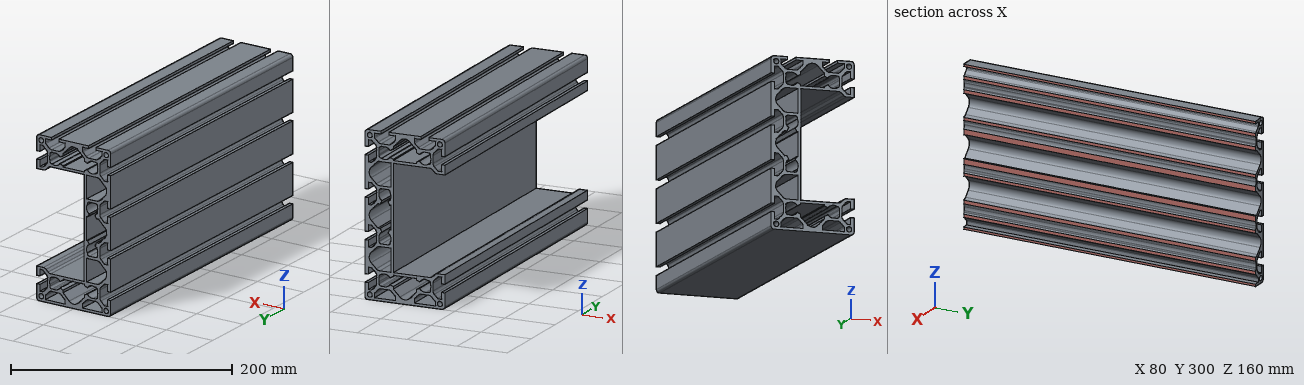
import cadquery as cq
import math

LENGTH = 300.0
PITCH = 40.0
SLOT_AXIS = PITCH / 2
WIDTH = 2 * PITCH
HEIGHT = 4 * PITCH
CORNER_RADIUS = 3.0

SLOT_OPENING = 8.0
SLOT_HALF_WIDTH = 10.5
SLOT_HALF_FLOOR = 5.4
SLOT_DEPTH = 11.8
SLOT_SIDE_DEPTH = SLOT_DEPTH - (SLOT_HALF_WIDTH - SLOT_HALF_FLOOR)
SLOT_SIDE_RADIUS = 1.5
SLOT_FLOOR_RADIUS = 4.0
END_LIP = 2.6
SIDE_LIP = 3.5

WALL = 2.6
CHAMBER_FLOOR = 26.0
INNER_FACE = CHAMBER_FLOOR + WALL

FRONT_LIP_END = SLOT_AXIS + SLOT_HALF_WIDTH + WALL
FRONT_LIP_LENGTH = 9.1
FRONT_LIP_RADIUS = 4.0

CROWN_DEPTH = 4.4
CROWN_RADIUS = 6.8
CROWN_APEX = CROWN_DEPTH - CROWN_RADIUS * (math.sqrt(2) - 1)

CELL_HALF = PITCH - INNER_FACE
CELL_BEND_RADIUS = 5.0

CORE_RADIUS = 6.0
CORE_DEPTH = 20.15
RIDGE_HALF_GAP = 3.0
RIDGE_TIP = math.sqrt(CORE_RADIUS**2 - RIDGE_HALF_GAP**2)
RIDGE_BACK = 8.5
RIDGE_BACK_HALF_GAP = 4.7

POCKET_TOP = SLOT_DEPTH + 2.5
POCKET_FLOOR = 25.3
POCKET_RADIUS = 2.2
FLANGE_CHAMBER_HALF = PITCH - POCKET_TOP
WEB_CHAMBER_HALF = PITCH - CELL_HALF - WALL

HOLE_INSET = 5.0
HOLE_DIAMETER = 4.9

TOP = (0, 1)
BOTTOM = (0, -1)
BACK = (-1, 0)
FRONT = (1, 0)


def section_plane(x, z, outward):
    """Section plane at a point of a face; local x runs along the face, local y is depth."""
    inward_x, inward_z = -outward[0], -outward[1]
    return cq.Workplane(cq.Plane(origin=(x, 0, z), xDir=(-inward_z, 0, inward_x), normal=(0, 1, 0)))


def extrude_full(profile):
    return profile.extrude(LENGTH / 2, both=True)


def rounded_loop(plane, corners):
    """Closed outline through (x, y, radius) corners; radius 0 leaves the corner sharp."""
    path = None
    for index, (x, y, radius) in enumerate(corners):
        corner = cq.Vector(x, y)
        before = cq.Vector(*corners[index - 1][:2])
        after = cq.Vector(*corners[(index + 1) % len(corners)][:2])
        to_before = (before - corner).normalized()
        to_after = (after - corner).normalized()
        half_angle = to_before.getAngle(to_after) / 2
        tangent_length = radius / math.tan(half_angle)
        start = corner + to_before * tangent_length
        path = path.lineTo(start.x, start.y) if path else plane.moveTo(start.x, start.y)
        if radius:
            middle = corner + (to_before + to_after).normalized() * (radius / math.sin(half_angle) - radius)
            end = corner + to_after * tangent_length
            path = path.threePointArc((middle.x, middle.y), (end.x, end.y))
    return path.close()


def mirrored(right_half):
    """Right half of a loop's corners followed by its mirror image about local x = 0."""
    return right_half + [(-x, y, radius) for x, y, radius in reversed(right_half)]


def channel_body():
    half_height = HEIGHT / 2
    inner_z = half_height - INNER_FACE
    lip_z = half_height - FRONT_LIP_END
    lip_x = WIDTH - FRONT_LIP_LENGTH
    slope_x = lip_x - (FRONT_LIP_END - INNER_FACE)
    upper_half = [
        (INNER_FACE, inner_z, 0),
        (slope_x, inner_z, FRONT_LIP_RADIUS),
        (lip_x, lip_z, FRONT_LIP_RADIUS),
        (WIDTH, lip_z, 0),
        (WIDTH, half_height, CORNER_RADIUS),
        (0, half_height, CORNER_RADIUS),
    ]
    lower_half = [(x, -z, radius) for x, z, radius in reversed(upper_half)]
    return extrude_full(rounded_loop(cq.Workplane("XZ"), upper_half + lower_half))


def slot_void(x, z, outward, lip, is_open=True):
    """T-slot with 45 degree shoulders; a closed slot keeps its outer wall whole."""
    half = [
        (SLOT_HALF_WIDTH, lip, 0),
        (SLOT_HALF_WIDTH, SLOT_SIDE_DEPTH, SLOT_SIDE_RADIUS),
        (SLOT_HALF_FLOOR, SLOT_DEPTH, SLOT_FLOOR_RADIUS),
    ]
    plane = section_plane(x, z, outward)
    void = extrude_full(rounded_loop(plane, mirrored(half)))
    if is_open:
        mouth = section_plane(x, z, outward).center(0, lip / 2).rect(SLOT_OPENING, lip)
        void = void.union(extrude_full(mouth))
    return void


def arm_depth(offset):
    """Depth of the 45 degree arm at an offset from the chamber axis."""
    return CROWN_APEX + offset


def crowned_void(x, z, outward, half_wall):
    """Void below a rounded crown; half_wall lists the corners from the right arm to the floor."""
    corners = [(0, CROWN_APEX, CROWN_RADIUS)] + mirrored(half_wall)
    return extrude_full(rounded_loop(section_plane(x, z, outward), corners))


def plain_cell(z):
    """Closed cell in the web, between two back slots."""
    half_wall = [
        (CELL_HALF, arm_depth(CELL_HALF), CELL_BEND_RADIUS),
        (CELL_HALF, CHAMBER_FLOOR, 0),
    ]
    return crowned_void(0, z, BACK, half_wall)


def ridged_chamber(x, z, outward, half_length):
    """Chamber spanning two slots: a crowned middle, two round cores and two end pockets."""
    back = SLOT_AXIS - RIDGE_BACK
    tip = SLOT_AXIS - RIDGE_TIP
    half_wall = [
        (back, arm_depth(back), 0),
        (back, CORE_DEPTH - RIDGE_BACK_HALF_GAP, 0),
        (tip, CORE_DEPTH - RIDGE_HALF_GAP, 0),
        (tip, CORE_DEPTH + RIDGE_HALF_GAP, 0),
        (back, CORE_DEPTH + RIDGE_BACK_HALF_GAP, 0),
        (back, CHAMBER_FLOOR, 0),
    ]
    void = crowned_void(x, z, outward, half_wall)
    for side in (-1, 1):
        core = section_plane(x, z, outward).center(side * SLOT_AXIS, CORE_DEPTH).circle(CORE_RADIUS)
        pocket = rounded_loop(section_plane(x, z, outward), [
            (side * SLOT_AXIS, POCKET_TOP, 0),
            (side * half_length, POCKET_TOP, POCKET_RADIUS),
            (side * half_length, POCKET_FLOOR, POCKET_RADIUS),
            (side * SLOT_AXIS, POCKET_FLOOR, 0),
        ])
        void = void.union(extrude_full(core)).union(extrude_full(pocket))
    return void


def corner_holes():
    centres = [
        (x, z)
        for x in (HOLE_INSET, WIDTH - HOLE_INSET)
        for z in (HEIGHT / 2 - HOLE_INSET, HOLE_INSET - HEIGHT / 2)
    ]
    return extrude_full(cq.Workplane("XZ").pushPoints(centres).circle(HOLE_DIAMETER / 2))


def all_voids():
    voids = [corner_holes()]
    for x in (SLOT_AXIS, SLOT_AXIS + PITCH):
        voids.append(slot_void(x, HEIGHT / 2, TOP, END_LIP))
        voids.append(slot_void(x, -HEIGHT / 2, BOTTOM, END_LIP, is_open=False))
    for side in (-1, 1):
        flange_axis = side * (HEIGHT / 2 - SLOT_AXIS)
        voids.append(slot_void(0, flange_axis, BACK, SIDE_LIP))
        voids.append(slot_void(0, side * SLOT_AXIS, BACK, SIDE_LIP))
        voids.append(slot_void(WIDTH, flange_axis, FRONT, SIDE_LIP))
        voids.append(plain_cell(side * PITCH))
    voids.append(ridged_chamber(PITCH, HEIGHT / 2, TOP, FLANGE_CHAMBER_HALF))
    voids.append(ridged_chamber(PITCH, -HEIGHT / 2, BOTTOM, FLANGE_CHAMBER_HALF))
    voids.append(ridged_chamber(0, 0, BACK, WEB_CHAMBER_HALF))
    return voids


result = channel_body()
for void in all_voids():
    result = result.cut(void)